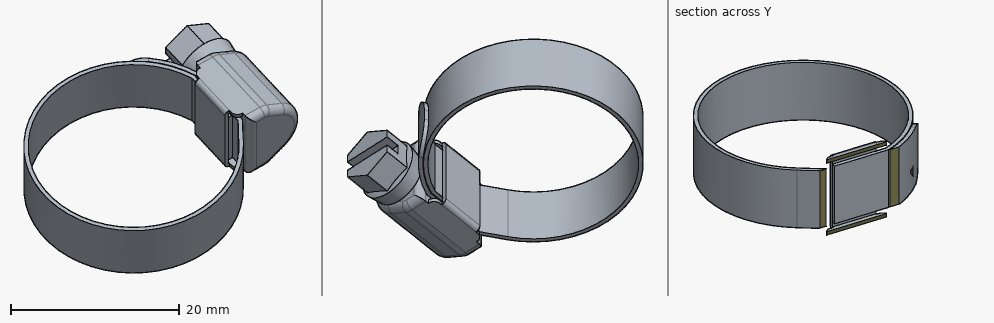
import cadquery as cq
import math


OVERALL_Y = 33.45
SHEET = 0.55
LAYER_GAP = 0.07

RING_DIAMETER = 26.13
BAND_WIDTH = 7.93
BAND_TOP = 12.88
BEND_X = 4.3
TAIL_ANGLE = 150.3
TAIL_CORNER = 3.18

HOUSING_LENGTH = 11.5
HOUSING_WIDTH = 10.4
DOME_RADIUS = 4.2
DOME_SLOPE = 30
SHOULDER_RADIUS = 2.0
END_ROUNDING = 0.97

TAB_LENGTH = 8.63
TAB_HEIGHT = 1.05
TAB_CORNER = 0.97
PAD_LENGTH = 6.1
PAD_ROUNDING = 0.65

HEAD_X = -11.5
HEAD_FLATS = 6.32
SLOT_WIDTH = 1.37
SLOT_DEPTH = 1.95
CONE_X = -8.05
CONE_RADIUS = 3.15
RIM_X = -7.85
RIM_RADIUS = 3.95
FLANGE_BACK_RADIUS = 3.6
SHANK_RADIUS = 3.0

RING_RADIUS = RING_DIAMETER / 2
SCREW_Y = OVERALL_Y - RING_RADIUS - DOME_RADIUS
CHANNEL_FLOOR = BAND_TOP - 2 * SHEET - LAYER_GAP
PAD_BOTTOM = CHANNEL_FLOOR - SHEET
SHANK_END_X = HOUSING_LENGTH / 2 - END_ROUNDING


def polar(radius, degrees):
    angle = math.radians(degrees)
    return radius * math.cos(angle), radius * math.sin(angle)


def left_point_on_circle(radius, y):
    """Point of a circle about the origin at height y, on the -X side."""
    return -math.sqrt(radius ** 2 - y ** 2), y


def make_band():
    """One strip: flat on the pad, once around the ring, back over itself and out as the tail."""
    ring_inner = RING_RADIUS - SHEET
    lap_inner = RING_RADIUS + LAYER_GAP
    lap_outer = lap_inner + SHEET
    lower_top = CHANNEL_FLOOR + SHEET
    upper_bottom = BAND_TOP - SHEET
    pad_end = PAD_LENGTH / 2

    bend_direction = math.atan2(BAND_TOP, BEND_X)
    tangent_spread = math.acos(RING_RADIUS / math.hypot(BEND_X, BAND_TOP))
    run_angle = math.degrees(bend_direction - tangent_spread)
    bend_angle = math.radians(90 - run_angle)
    inner_bend_x = BEND_X - SHEET * math.tan(bend_angle / 2)

    exit_x, exit_y = left_point_on_circle(lap_outer, BAND_TOP)
    tail_middle = (TAIL_ANGLE + math.degrees(math.atan2(exit_y, exit_x))) / 2

    strip = (
        cq.Workplane("XY")
        .workplane(offset=-BAND_WIDTH / 2)
        .moveTo(pad_end, CHANNEL_FLOOR)
        .lineTo(*left_point_on_circle(ring_inner, CHANNEL_FLOOR))
        .threePointArc((0, -ring_inner), polar(ring_inner, run_angle))
        .lineTo(inner_bend_x, upper_bottom)
        .lineTo(*left_point_on_circle(lap_inner, upper_bottom))
        .threePointArc(polar(lap_inner, tail_middle), polar(lap_inner, TAIL_ANGLE))
        .lineTo(*polar(lap_outer, TAIL_ANGLE))
        .threePointArc(polar(lap_outer, tail_middle), (exit_x, exit_y))
        .lineTo(BEND_X, BAND_TOP)
        .lineTo(*polar(RING_RADIUS, run_angle))
        .threePointArc((0, -RING_RADIUS), left_point_on_circle(RING_RADIUS, lower_top))
        .lineTo(pad_end, lower_top)
        .close()
        .extrude(BAND_WIDTH)
    )

    tip_x, tip_y = polar(lap_inner + SHEET / 2, TAIL_ANGLE)
    for side in (-1, 1):
        corner = cq.selectors.NearestToPointSelector((tip_x, tip_y, side * BAND_WIDTH / 2))
        strip = strip.edges(corner).fillet(TAIL_CORNER)
    return strip


def make_housing_body():
    """Domed block with slanted flanks, rounded around both ends."""
    half_width = HOUSING_WIDTH / 2
    slope = math.radians(DOME_SLOPE)
    dome_z = DOME_RADIUS * math.cos(slope)
    dome_y = SCREW_Y + DOME_RADIUS * math.sin(slope)
    shoulder_y = dome_y - (half_width - dome_z) / math.tan(slope)

    body = (
        cq.Workplane("YZ")
        .workplane(offset=-HOUSING_LENGTH / 2)
        .moveTo(BAND_TOP, -half_width)
        .lineTo(shoulder_y, -half_width)
        .lineTo(dome_y, -dome_z)
        .threePointArc((SCREW_Y + DOME_RADIUS, 0), (dome_y, dome_z))
        .lineTo(shoulder_y, half_width)
        .lineTo(BAND_TOP, half_width)
        .close()
        .extrude(HOUSING_LENGTH)
    )
    for side in (-1, 1):
        shoulder = cq.selectors.NearestToPointSelector((0, shoulder_y, side * half_width))
        body = body.edges(shoulder).fillet(SHOULDER_RADIUS)
    return body.faces("<X or >X").edges().fillet(END_ROUNDING)


def make_tab(side):
    """Side wall with rounded lower corners, reaching down beside the band."""
    return (
        cq.Workplane("XY")
        .box(TAB_LENGTH, TAB_HEIGHT, SHEET)
        .edges("|Z and <Y")
        .fillet(TAB_CORNER)
        .translate((0, BAND_TOP - TAB_HEIGHT / 2, side * (HOUSING_WIDTH - SHEET) / 2))
    )


def make_pad():
    """U-shaped plate below the housing that closes the band channel."""
    height = BAND_TOP - PAD_BOTTOM
    channel_height = BAND_TOP - CHANNEL_FLOOR
    outside = (
        cq.Workplane("XY")
        .box(PAD_LENGTH, height, HOUSING_WIDTH)
        .edges("|X and <Y")
        .fillet(PAD_ROUNDING)
        .translate((0, BAND_TOP - height / 2, 0))
    )
    channel = (
        cq.Workplane("XY")
        .box(PAD_LENGTH, channel_height, HOUSING_WIDTH - 2 * SHEET)
        .translate((0, BAND_TOP - channel_height / 2, 0))
    )
    return outside.cut(channel)


def make_shank():
    """Screw shank inside the housing; also the shape of the housing bore."""
    return (
        cq.Workplane("YZ")
        .workplane(offset=-HOUSING_LENGTH / 2)
        .center(SCREW_Y, 0)
        .circle(SHANK_RADIUS)
        .extrude(HOUSING_LENGTH / 2 + SHANK_END_X)
    )


def make_housing():
    housing = make_housing_body().union(make_pad())
    for side in (-1, 1):
        housing = housing.union(make_tab(side))
    return housing.cut(make_shank())


def make_screw():
    """Slotted hex head, conical flange and plain shank."""
    flange = (
        cq.Workplane("XY")
        .moveTo(CONE_X, 0)
        .lineTo(CONE_X, CONE_RADIUS)
        .lineTo(RIM_X, RIM_RADIUS)
        .lineTo(-HOUSING_LENGTH / 2, FLANGE_BACK_RADIUS)
        .lineTo(-HOUSING_LENGTH / 2, 0)
        .close()
        .revolve(360, (0, 0, 0), (1, 0, 0))
        .translate((0, SCREW_Y, 0))
    )
    across_corners = HEAD_FLATS / math.cos(math.radians(30))
    head = (
        cq.Workplane("YZ")
        .polygon(6, across_corners)
        .extrude(RIM_X - HEAD_X)
        .rotate((0, 0, 0), (1, 0, 0), 90)
        .translate((HEAD_X, SCREW_Y, 0))
    )
    slot = (
        cq.Workplane("XY")
        .box(SLOT_DEPTH, across_corners, SLOT_WIDTH)
        .translate((HEAD_X + SLOT_DEPTH / 2, SCREW_Y, 0))
    )
    return head.cut(slot).union(flange).union(make_shank())


band = make_band()
housing = make_housing()
screw = make_screw()

result = cq.Compound.makeCompound([band.solids().val(), housing.solids().val(), screw.solids().val()])